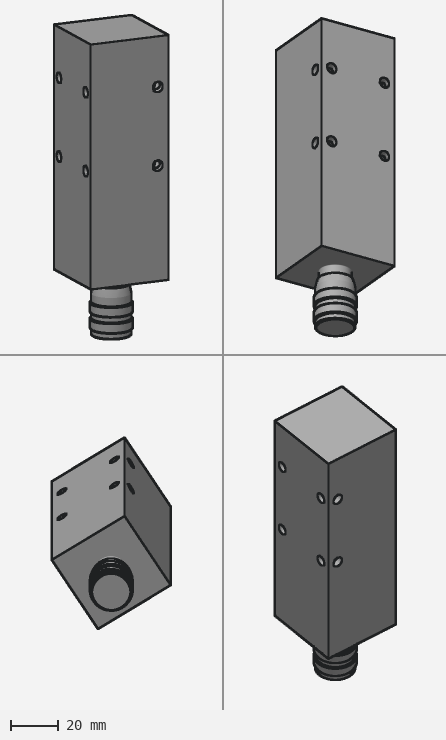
import cadquery as cq

total_height = 132.0
body_width = 36.0
body_height = 106.0
body_bottom = total_height - body_height
half_width = body_width / 2

hole_diameter = 4.5
hole_edge_distance = 5.0
upper_hole_depth = 21.9
hole_row_spacing = 34.0
hole_offset = half_width - hole_edge_distance
upper_hole_z = total_height - upper_hole_depth
hole_levels = (upper_hole_z, upper_hole_z - hole_row_spacing)

neck_diameter = 13.9
shoulder_diameter = 15.0
barrel_diameter = 17.0
ring_diameter = 18.1

ring_height = 4.9
lower_ring_bottom = 2.6
upper_ring_bottom = 9.6
barrel_top = 18.1
shoulder_top = 22.0

end_chamfer = 0.5
shoulder_radius = 18.5
neck_fillet = 0.3


def make_body():
    """Square housing block standing above the connector."""
    return (
        cq.Workplane("XY", origin=(0, 0, body_bottom))
        .rect(body_width, body_width)
        .extrude(body_height)
    )


def make_core():
    """Turned core: chamfered plug end, barrel, rounded shoulder, and neck filleted into the body."""
    barrel_radius = barrel_diameter / 2
    neck_radius = neck_diameter / 2
    profile = (
        cq.Workplane("XZ")
        .lineTo(barrel_radius - end_chamfer, 0)
        .lineTo(barrel_radius, end_chamfer)
        .lineTo(barrel_radius, barrel_top)
        .radiusArc((shoulder_diameter / 2, shoulder_top), -shoulder_radius)
        .lineTo(neck_radius, shoulder_top)
        .lineTo(neck_radius, body_bottom - neck_fillet)
        .radiusArc((neck_radius + neck_fillet, body_bottom), neck_fillet)
        .lineTo(0, body_bottom)
        .close()
    )
    return profile.revolve(360, (0, 0, 0), (0, 1, 0))


def grip_ring(bottom):
    """Raised ring whose edges are chamfered down to the barrel surface."""
    edge_chamfer = (ring_diameter - barrel_diameter) / 2
    return (
        cq.Workplane("XY", origin=(0, 0, bottom))
        .circle(ring_diameter / 2)
        .extrude(ring_height)
        .edges("%CIRCLE")
        .chamfer(edge_chamfer)
    )


def make_connector():
    """Turned core with two raised grip rings."""
    connector = make_core()
    for ring_bottom in (lower_ring_bottom, upper_ring_bottom):
        connector = connector.union(grip_ring(ring_bottom))
    return connector


def drill(plane, centers):
    """Hole cylinders crossing the full body width, normal to a plane through its axis."""
    return cq.Workplane(plane).pushPoints(centers).circle(hole_diameter / 2).extrude(half_width, both=True)


def mounting_holes():
    """Through holes: two columns along Y, and one column along X near the +Y side."""
    along_y = [(x, z) for x in (-hole_offset, hole_offset) for z in hole_levels]
    along_x = [(hole_offset, z) for z in hole_levels]
    return drill("XZ", along_y).union(drill("YZ", along_x))


result = make_body().union(make_connector()).cut(mounting_holes())